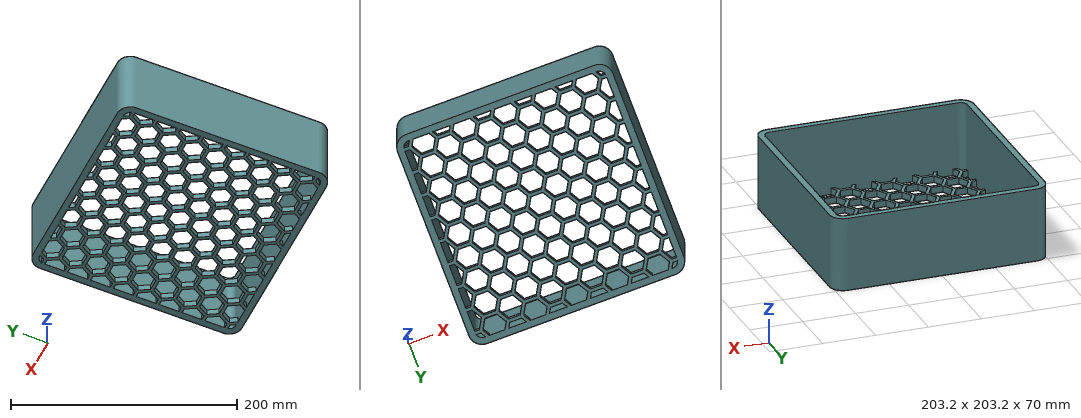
import cadquery as cq
import math

side = 203.2
height = 70.0
wall = 6.3
floor_thickness = wall
outer_radius = 2 * wall
inner_radius = outer_radius - wall
cavity_side = side - 2 * wall

cell_flats = 19.0
rib = wall / 2
row_pitch = cell_flats + rib
column_pitch = row_pitch * math.sqrt(3) / 2
cell_corners = 2 * cell_flats / math.sqrt(3)


def rounded_block(width, radius, depth):
    """Square block with rounded upright edges, standing on Z = 0."""
    return cq.Workplane("XY").rect(width, width).extrude(depth).edges("|Z").fillet(radius)


def cell_centres():
    """Centres of every cell that can reach the cavity; odd columns shift by half a row."""
    columns = math.ceil(cavity_side / 2 / column_pitch)
    rows = math.ceil(cavity_side / 2 / row_pitch)
    centres = []
    for column in range(-columns, columns + 1):
        shift = row_pitch / 2 if column % 2 else 0
        for row in range(-rows - 1, rows + 1):
            centres.append((column * column_pitch, row * row_pitch + shift))
    return centres


def honeycomb_openings():
    """Cells through the floor, trimmed to the cavity outline."""
    cells = cq.Workplane("XY").pushPoints(cell_centres()).polygon(6, cell_corners).extrude(floor_thickness)
    return cells.intersect(rounded_block(cavity_side, inner_radius, floor_thickness))


cavity = rounded_block(cavity_side, inner_radius, height - floor_thickness)
tray = rounded_block(side, outer_radius, height)
tray = tray.cut(cavity.translate((0, 0, floor_thickness)))
result = tray.cut(honeycomb_openings())